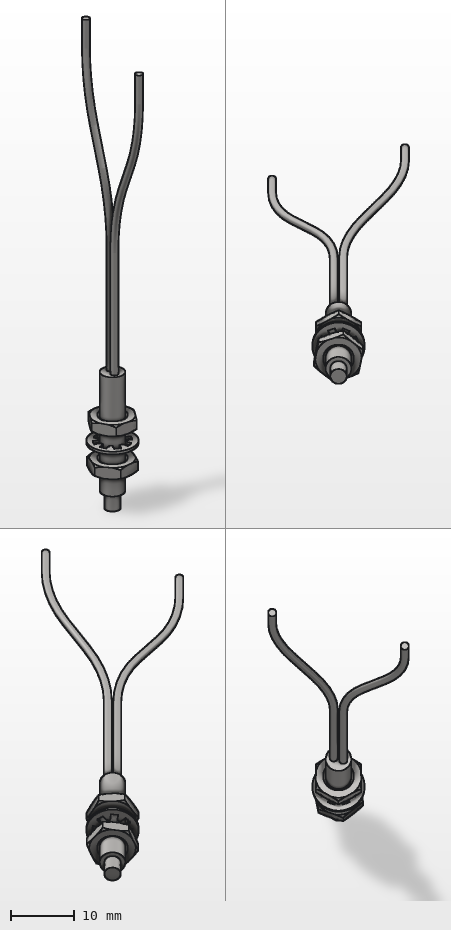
import cadquery as cq
import math

total_height = 80.9
tip_top = 3.0
lower_nut_bottom = 6.8
washer_bottom = 11.4
upper_nut_bottom = 14.3
housing_top = 23.9

tip_radius = 1.3
shaft_radius = 2.0

nut_height = 2.0
nut_across_corners = 8.25
nut_bevel_radius = 3.65
nut_bevel_angle = 30.0
nut_countersink = 0.4
lower_nut_turn = -5.0
upper_nut_turn = -15.0

washer_radius = 4.1
washer_thickness = 0.5
washer_bore_radius = 2.1
tooth_root_radius = 3.15
tooth_count = 8
tooth_gap_width = 1.1
first_gap_angle = 38.0

cable_radius = 0.65
cable_gap = 0.25
cable_spread = 22.9
bend_start = 45.3
end_length = 5.0
bend_angle = 30.0

lead_offset = cable_radius + cable_gap / 2
end_offset = cable_spread / 2 - cable_radius
bend_end = total_height - end_length
side_shift = end_offset - lead_offset
rise = bend_end - bend_start
sin_bend = math.sin(math.radians(bend_angle))
cos_bend = math.cos(math.radians(bend_angle))
bend_radius = (rise * sin_bend - side_shift * cos_bend) / (2 * (1 - cos_bend))


def cylinder(radius, bottom, top):
    return cq.Workplane("XY", origin=(0, 0, bottom)).circle(radius).extrude(top - bottom)


def make_nut(bottom, turn):
    """Hexagon nut with beveled corners and a countersunk bore at both faces."""
    hexagon = (
        cq.Workplane("XY")
        .polygon(6, nut_across_corners)
        .extrude(nut_height)
        .rotate((0, 0, 0), (0, 0, 1), turn)
    )
    corner_radius = nut_across_corners / 2
    bevel_drop = (corner_radius - nut_bevel_radius) * math.tan(math.radians(nut_bevel_angle))
    mouth_radius = shaft_radius + nut_countersink
    envelope = (
        cq.Workplane("XZ")
        .polyline([
            (shaft_radius, nut_countersink),
            (mouth_radius, 0),
            (nut_bevel_radius, 0),
            (corner_radius, bevel_drop),
            (corner_radius, nut_height - bevel_drop),
            (nut_bevel_radius, nut_height),
            (mouth_radius, nut_height),
            (shaft_radius, nut_height - nut_countersink),
        ])
        .close()
        .revolve(360, (0, 0, 0), (0, 1, 0))
    )
    return hexagon.intersect(envelope).translate((0, 0, bottom))


def make_cable(side):
    """One cable swept along its centre line; side is -1 or +1 along X."""
    bend_shift = bend_radius * (1 - cos_bend)
    bend_rise = bend_radius * sin_bend
    half_bend = math.radians(bend_angle / 2)
    half_shift = bend_radius * (1 - math.cos(half_bend))
    half_rise = bend_radius * math.sin(half_bend)
    path = (
        cq.Workplane("XZ")
        .moveTo(side * lead_offset, housing_top)
        .lineTo(side * lead_offset, bend_start)
        .threePointArc(
            (side * (lead_offset + half_shift), bend_start + half_rise),
            (side * (lead_offset + bend_shift), bend_start + bend_rise),
        )
        .lineTo(side * (end_offset - bend_shift), bend_end - bend_rise)
        .threePointArc(
            (side * (end_offset - half_shift), bend_end - half_rise),
            (side * end_offset, bend_end),
        )
        .lineTo(side * end_offset, total_height)
    )
    start = cq.Workplane("XY", origin=(side * lead_offset, 0, housing_top))
    return start.circle(cable_radius).sweep(path)


def make_fiber_unit():
    """Housing, its two nuts and the two cables as one solid."""
    unit = cylinder(tip_radius, 0, tip_top).union(cylinder(shaft_radius, tip_top, housing_top))
    unit = unit.union(make_nut(lower_nut_bottom, lower_nut_turn))
    unit = unit.union(make_nut(upper_nut_bottom, upper_nut_turn))
    for side in (-1, 1):
        unit = unit.union(make_cable(side))
    return unit


def make_lock_washer():
    """Flat ring with inward teeth left standing between radial gaps."""
    top = washer_bottom + washer_thickness
    washer = cylinder(washer_radius, washer_bottom, top).cut(
        cylinder(washer_bore_radius, washer_bottom, top)
    )
    root_disc = cylinder(tooth_root_radius, washer_bottom, top)
    for index in range(tooth_count):
        gap = (
            cq.Workplane("XY", origin=(0, 0, washer_bottom))
            .center(washer_radius / 2, 0)
            .rect(washer_radius, tooth_gap_width)
            .extrude(washer_thickness)
            .rotate((0, 0, 0), (0, 0, 1), first_gap_angle + index * 360 / tooth_count)
        )
        washer = washer.cut(gap.intersect(root_disc))
    return washer


fiber_unit = make_fiber_unit()
lock_washer = make_lock_washer()
result = cq.Compound.makeCompound([fiber_unit.val(), lock_washer.val()])